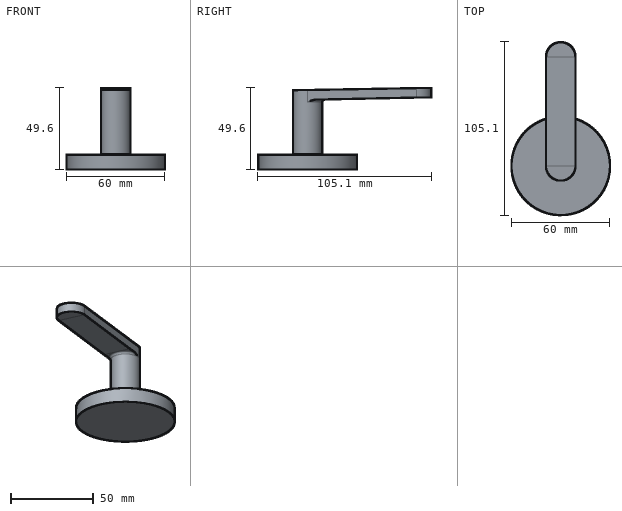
import cadquery as cq

rose_diameter = 60.0
rose_thickness = 9.0
overall_length = 105.1
overall_height = 49.6
post_diameter = 18.0
grip_thickness = 6.0
grip_rise = 1.2
end_rise = 0.1
foot_gap = 0.3
neck_fillet = 1.5

post_radius = post_diameter / 2
tip_end_y = overall_length - rose_diameter / 2
tip_center_y = tip_end_y - post_radius
tip_underside_z = overall_height - grip_thickness
underside_z = tip_underside_z - grip_rise
tip_top_z = overall_height - end_rise
post_top_z = tip_top_z - grip_rise
post_foot_z = rose_thickness + foot_gap
neck_radius = post_radius + neck_fillet


def make_rose():
    """Round plate at the foot of the handle."""
    return cq.Workplane("XY").circle(rose_diameter / 2).extrude(rose_thickness)


def make_grip_outline():
    """Upright prism with rounded ends, matching the plan shape of the handle."""
    return (
        cq.Workplane("XY")
        .center(0, tip_center_y / 2)
        .slot2D(tip_center_y + post_diameter, post_diameter, 90)
        .extrude(overall_height)
    )


def make_grip_profile():
    """Side shape of the grip: a gently rising middle between flatter ends."""
    return (
        cq.Workplane("YZ")
        .moveTo(-post_radius, underside_z)
        .lineTo(neck_radius, underside_z)
        .lineTo(tip_center_y, tip_underside_z)
        .lineTo(tip_end_y, tip_underside_z)
        .lineTo(tip_end_y, overall_height)
        .lineTo(tip_center_y, tip_top_z)
        .lineTo(0, post_top_z)
        .lineTo(-post_radius, post_top_z - end_rise)
        .close()
        .extrude(post_radius, both=True)
    )


def make_post():
    """Post from just above the rose to the grip, flaring into the fillet at its top."""
    fillet_start_z = underside_z - neck_fillet
    fillet_middle = neck_fillet * (1 - 0.5 ** 0.5)
    return (
        cq.Workplane("XZ")
        .moveTo(0, post_foot_z)
        .lineTo(post_radius, post_foot_z)
        .lineTo(post_radius, fillet_start_z)
        .threePointArc(
            (post_radius + fillet_middle, underside_z - fillet_middle),
            (neck_radius, underside_z),
        )
        .lineTo(0, underside_z)
        .close()
        .revolve(360, (0, 0), (0, 1))
    )


def make_lever():
    """Post and grip in one piece, trimmed to the rounded plan outline."""
    return make_post().union(make_grip_profile()).intersect(make_grip_outline())


rose = make_rose()
lever = make_lever()

result = cq.Compound.makeCompound([rose.val(), *lever.solids().vals()])